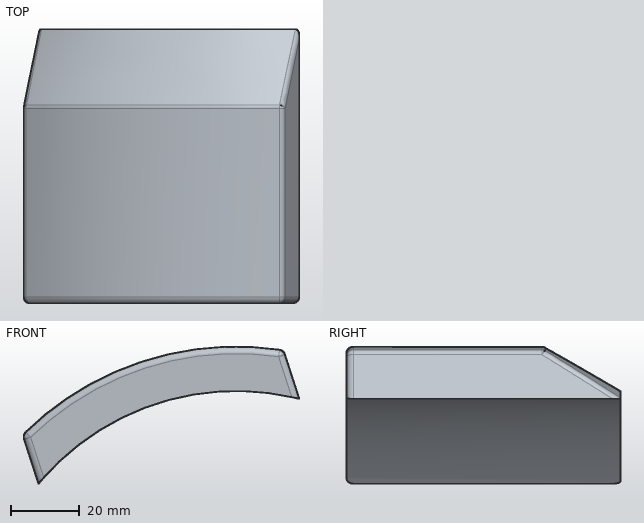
import cadquery as cq
import math

tile_width = 80.0
tile_length = 80.0
inner_radius = 75.0
thickness = 13.0
tilt_angle = 18.0
bevel_angle = 30.0
edge_radius = 2.0

outer_radius = inner_radius + thickness
bevel_length = thickness / math.tan(math.radians(bevel_angle))
bevel_start = tile_length - bevel_length


def make_ring():
    """Full ring about the Y axis whose outside tapers to a knife edge at the back."""
    return (
        cq.Workplane("XY")
        .moveTo(inner_radius, 0)
        .lineTo(outer_radius, 0)
        .lineTo(outer_radius, bevel_start)
        .lineTo(inner_radius, tile_length)
        .close()
        .revolve(360, (0, 0, 0), (0, 1, 0))
    )


def make_segment():
    """Upper part of the ring between two parallel end planes."""
    slab = cq.Workplane("XY").box(
        tile_width, tile_length, outer_radius, centered=(True, False, False)
    )
    return make_ring().intersect(slab)


def round_upper_edges(segment):
    """Round every edge that does not border the concave underside."""
    underside = segment.faces("%CYLINDER").faces("<Z")
    upper_edges = [
        edge
        for edge in segment.edges().vals()
        if not any(edge.isSame(rim_edge) for rim_edge in underside.edges().vals())
    ]
    return segment.newObject(upper_edges).fillet(edge_radius)


upright_tile = round_upper_edges(make_segment())
result = upright_tile.rotate((0, 0, 0), (0, 1, 0), -tilt_angle)